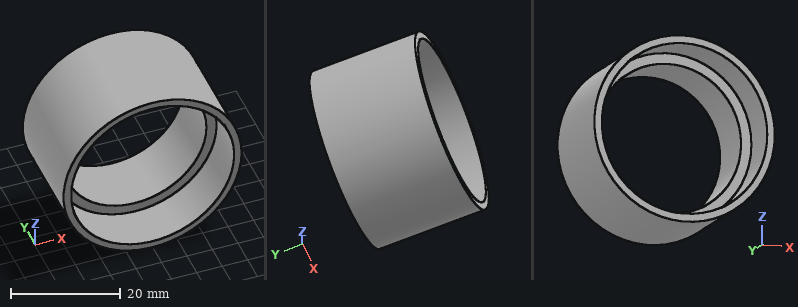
import cadquery as cq

outer_diameter = 35.0
length = 21.0
bore_diameter = 28.0
counterbore_diameter = 32.0
counterbore_depth = 9.0

front_y = -length / 2


def cylinder_from_front(diameter, depth):
    """Cylinder starting at the front (-Y) face and running toward +Y."""
    front_plane = cq.Workplane("XZ", origin=(0, front_y, 0))
    return front_plane.circle(diameter / 2).extrude(-depth)


body = cylinder_from_front(outer_diameter, length)
bore = cylinder_from_front(bore_diameter, length)
counterbore = cylinder_from_front(counterbore_diameter, counterbore_depth)

result = body.cut(bore).cut(counterbore)